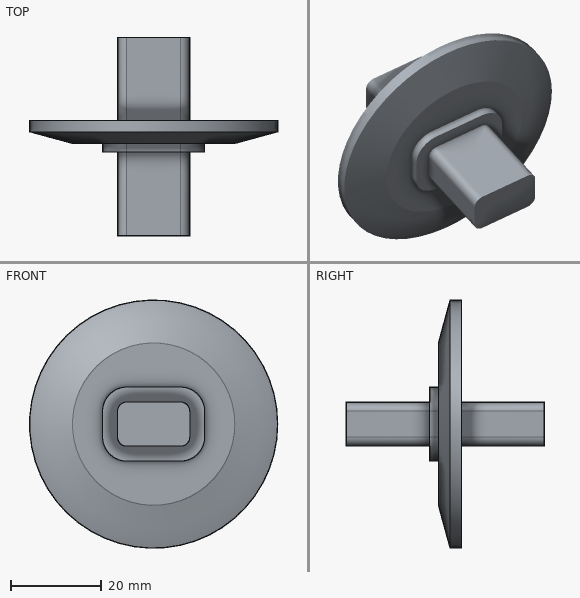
import cadquery as cq

disc_diameter = 54.85
rim_thickness = 2.5
cone_depth = 2.6
front_face_diameter = 35.9

bar_width = 15.95
bar_height = 9.75
bar_corner_radius = 2.05
bar_length = 43.85
bar_back_length = 18.3

collar_margin = 3.3
collar_thickness = 1.9

disc_front = rim_thickness + cone_depth


def rounded_block(width, height, corner_radius, back, length):
    """Rounded rectangle in XZ, extruded toward -Y from the plane Y = back."""
    return (
        cq.Workplane("XZ", origin=(0, back, 0))
        .rect(width, height)
        .extrude(length)
        .edges("|Y")
        .fillet(corner_radius)
    )


def disc():
    """Cylindrical rim that tapers to a smaller flat front face."""
    rim_radius = disc_diameter / 2
    face_radius = front_face_diameter / 2
    return (
        cq.Workplane("XY")
        .moveTo(0, 0)
        .lineTo(rim_radius, 0)
        .lineTo(rim_radius, -rim_thickness)
        .lineTo(face_radius, -disc_front)
        .lineTo(0, -disc_front)
        .close()
        .revolve(360, (0, 0, 0), (0, 1, 0))
    )


bar = rounded_block(bar_width, bar_height, bar_corner_radius, bar_back_length, bar_length)
collar = rounded_block(
    bar_width + 2 * collar_margin,
    bar_height + 2 * collar_margin,
    bar_corner_radius + collar_margin,
    0,
    disc_front + collar_thickness,
)

result = disc().union(collar).union(bar)